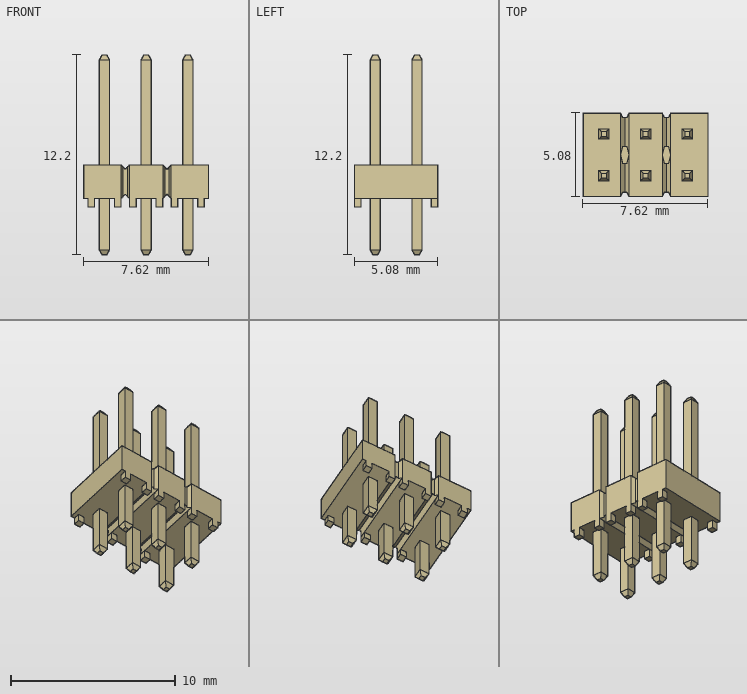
import cadquery as cq

columns = 3
rows = 2
body_length = 7.62
pitch = body_length / columns
body_width = rows * pitch
body_height = 2.05
body_bottom = 3.44
body_top = body_bottom + body_height

pin_length = 12.19
pin_side = 0.63
tip_side = 0.29
tip_length = 0.32

groove_width = 0.51
groove_depth = groove_width / 2
notch_floor_width = groove_width / 2
pocket_length = 2 * groove_width
pocket_depth = groove_depth

foot_side = 0.41
foot_height = 0.52
foot_spacing = pitch - groove_width - foot_side

column_places = [(i - (columns - 1) / 2) * pitch for i in range(columns)]
row_places = [(i - (rows - 1) / 2) * pitch for i in range(rows)]
groove_places = [x + pitch / 2 for x in column_places[:-1]]


def make_groove(x, face, inward):
    """V groove along Y in the top or bottom face; inward is the Z direction into the body."""
    return (
        cq.Workplane("XZ")
        .polyline([
            (x - groove_width / 2, face),
            (x + groove_width / 2, face),
            (x, face + inward * groove_depth),
        ])
        .close()
        .extrude(body_width / 2, both=True)
    )


def make_notch(x, side):
    """Full-height trapezoidal notch in the body side at +Y or -Y."""
    face = side * body_width / 2
    floor = face - side * groove_depth
    return (
        cq.Workplane("XY", origin=(0, 0, body_bottom))
        .polyline([
            (x - groove_width / 2, face),
            (x + groove_width / 2, face),
            (x + notch_floor_width / 2, floor),
            (x - notch_floor_width / 2, floor),
        ])
        .close()
        .extrude(body_height)
    )


def make_pocket(x):
    """Hexagonal pocket midway along the upper groove, its floor level with the groove bottom."""
    return (
        cq.Workplane("XY", origin=(x, 0, body_top))
        .polyline([
            (-groove_width / 2, 0),
            (-notch_floor_width / 2, pocket_length / 2),
            (notch_floor_width / 2, pocket_length / 2),
            (groove_width / 2, 0),
            (notch_floor_width / 2, -pocket_length / 2),
            (-notch_floor_width / 2, -pocket_length / 2),
        ])
        .close()
        .extrude(-pocket_depth)
    )


def make_body():
    body = cq.Workplane("XY", origin=(0, 0, body_bottom)).box(
        body_length, body_width, body_height, centered=(True, True, False)
    )
    for x in groove_places:
        body = body.cut(make_groove(x, body_top, -1))
        body = body.cut(make_groove(x, body_bottom, 1))
        body = body.cut(make_notch(x, 1))
        body = body.cut(make_notch(x, -1))
        body = body.cut(make_pocket(x))
    return body


def make_feet():
    """Two feet per column on each long edge, flush with the body side."""
    foot_y = (body_width - foot_side) / 2
    places = [
        (x + x_side * foot_spacing / 2, y_side * foot_y)
        for x in column_places
        for x_side in (-1, 1)
        for y_side in (-1, 1)
    ]
    return (
        cq.Workplane("XY", origin=(0, 0, body_bottom))
        .pushPoints(places)
        .rect(foot_side, foot_side)
        .extrude(-foot_height)
    )


def make_pin(x, y):
    shaft = cq.Workplane("XY", origin=(x, y, tip_length)).box(
        pin_side, pin_side, pin_length - 2 * tip_length, centered=(True, True, False)
    )
    lower_tip = (
        cq.Workplane("XY", origin=(x, y, 0))
        .rect(tip_side, tip_side)
        .workplane(offset=tip_length)
        .rect(pin_side, pin_side)
        .loft(ruled=True)
    )
    upper_tip = lower_tip.mirror("XY", (0, 0, pin_length / 2))
    return shaft.union(lower_tip).union(upper_tip)


result = make_body().union(make_feet())
for column_x in column_places:
    for row_y in row_places:
        result = result.union(make_pin(column_x, row_y))